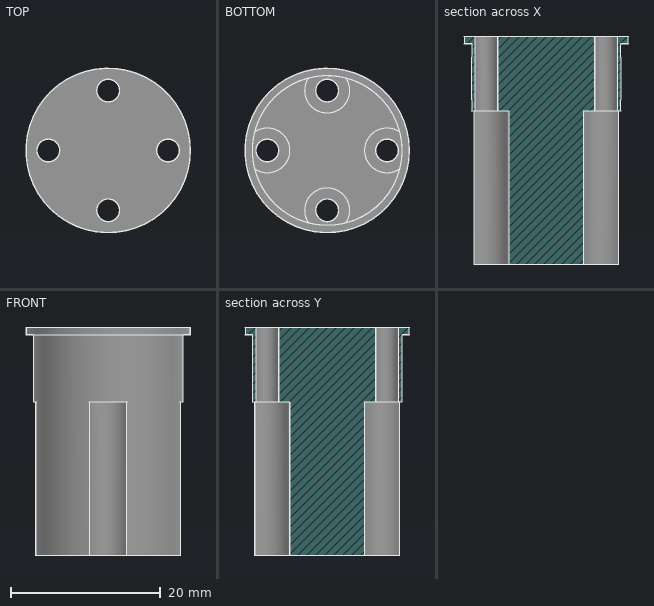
import cadquery as cq

flange_diameter = 22.0
flange_thickness = 1.0
body_diameter = 20.0
total_height = 30.5

screw_count = 4
screw_circle_diameter = 16.0
screw_hole_diameter = 3.0
channel_diameter = 6.0
channel_height = 20.5

body_height = total_height - flange_thickness


def make_plug():
    """Round body standing on Z = 0 with a thin flange on top."""
    body = cq.Workplane("XY").circle(body_diameter / 2).extrude(body_height)
    flange = (
        cq.Workplane("XY")
        .workplane(offset=body_height)
        .circle(flange_diameter / 2)
        .extrude(flange_thickness)
    )
    return body.union(flange)


def screw_cylinders(diameter, height):
    """Upright cylinders from Z = 0, one at each screw position."""
    return (
        cq.Workplane("XY")
        .polarArray(screw_circle_diameter / 2, 0, 360, screw_count)
        .circle(diameter / 2)
        .extrude(height)
    )


channels = screw_cylinders(channel_diameter, channel_height)
screw_holes = screw_cylinders(screw_hole_diameter, total_height)

result = make_plug().cut(channels).cut(screw_holes)